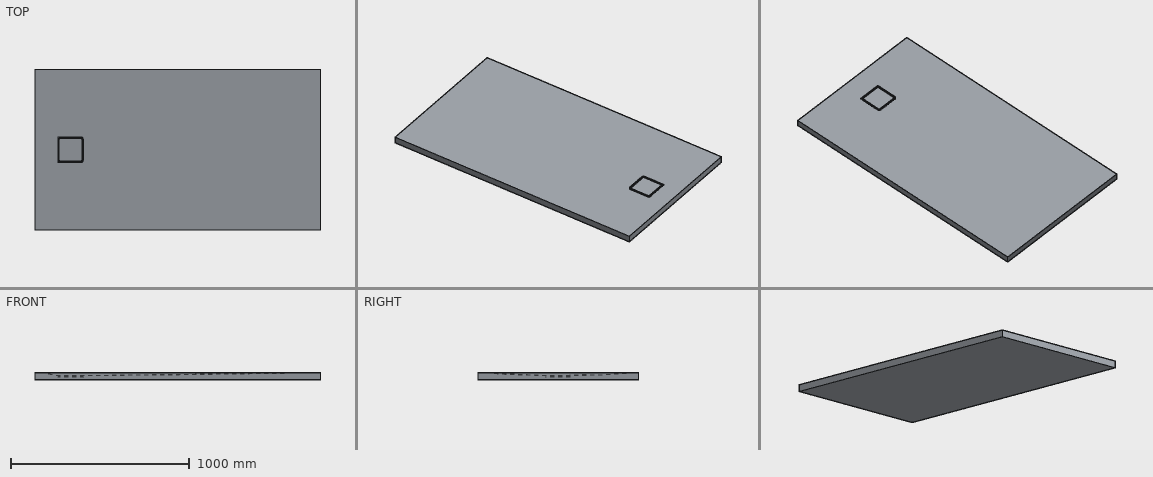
import cadquery as cq
import math

LENGTH = 1600.0
WIDTH = 900.0
HEIGHT = 40.0

RIM_END = 42.0
RIM_SIDE = 38.0
RIM_DROP = 1.0
BASIN_RADIUS = 13.0

DRAIN_SETBACK = 200.0
RECESS_SIZE = 142.0
RECESS_RADIUS = 13.0
RECESS_DROP = 16.0
COVER_GAP = 5.0
COVER_THICKNESS = 8.0
COVER_CHAMFER = 3.0

GUIDE_STEPS = 6

OUTER_X = LENGTH / 2
OUTER_Y = WIDTH / 2
BASIN_X = OUTER_X - RIM_END
BASIN_Y = OUTER_Y - RIM_SIDE
BASIN_Z = HEIGHT - RIM_DROP
DRAIN_X = DRAIN_SETBACK - OUTER_X
RECESS_HALF = RECESS_SIZE / 2
RECESS_LEFT = DRAIN_X - RECESS_HALF
RECESS_RIGHT = DRAIN_X + RECESS_HALF
RECESS_Z = HEIGHT - RECESS_DROP
RECESS_FLOOR_Z = RECESS_Z - COVER_THICKNESS
COVER_SIZE = RECESS_SIZE - 2 * COVER_GAP
COVER_RADIUS = RECESS_RADIUS - COVER_GAP



def path(*points):
    """Straight edges from point to point."""
    return [cq.Edge.makeLine(cq.Vector(*a), cq.Vector(*b)) for a, b in zip(points, points[1:])]


def rounded_corner(x, y, z, radius, x_sign, y_sign):
    """Arc rounding the corner (x, y) that points along the signs, with its two tangent points."""
    center_x = x - x_sign * radius
    center_y = y - y_sign * radius
    reach = radius * math.sqrt(0.5)
    start = (center_x, y, z)
    middle = (center_x + x_sign * reach, center_y + y_sign * reach, z)
    end = (x, center_y, z)
    arc = cq.Edge.makeThreePointArc(cq.Vector(*start), cq.Vector(*middle), cq.Vector(*end))
    return start, arc, end


def lip_corner(y_sign):
    """Rounded corner of the recess on the side away from the ramp."""
    return rounded_corner(RECESS_RIGHT, y_sign * RECESS_HALF, RECESS_Z, RECESS_RADIUS, 1, y_sign)


def flat_face(edges):
    return cq.Face.makeFromWires(cq.Wire.assembleEdges(edges))


def smooth_face(edges, guides=()):
    """Smooth surface that fills a closed loop of edges and passes through the guide points."""
    return cq.Face.makeNSidedSurface(edges, [cq.Vector(*guide) for guide in guides])



def basin_guides(y_sign):
    """Points on the straight slopes between the drain end of the basin and its long side."""
    guides = []
    for i in range(1, GUIDE_STEPS):
        x = -BASIN_X + (DRAIN_X + BASIN_X) * i / GUIDE_STEPS
        ramp_part = min(1, (x + BASIN_X) / (RECESS_LEFT + BASIN_X))
        low_z = BASIN_Z + (RECESS_Z - BASIN_Z) * ramp_part
        for j in range(1, GUIDE_STEPS):
            slope_part = j / GUIDE_STEPS
            y = RECESS_HALF + (BASIN_Y - RECESS_HALF) * slope_part
            z = low_z + (BASIN_Z - low_z) * slope_part
            guides.append((x, y_sign * y, z))
    return guides


def quarter_faces(x_sign, y_sign):
    """Rim and basin surfaces of one quarter, parted by the seams through the drain center."""
    outer_corner = (x_sign * OUTER_X, y_sign * OUTER_Y, HEIGHT)
    side_outer = (DRAIN_X, y_sign * OUTER_Y, HEIGHT)
    side_basin = (DRAIN_X, y_sign * BASIN_Y, BASIN_Z)
    side_recess = (DRAIN_X, y_sign * RECESS_HALF, RECESS_Z)
    end_outer = (x_sign * OUTER_X, 0, HEIGHT)
    end_basin = (x_sign * BASIN_X, 0, BASIN_Z)
    arc_start, arc, arc_end = rounded_corner(
        x_sign * BASIN_X, y_sign * BASIN_Y, BASIN_Z, BASIN_RADIUS, x_sign, y_sign
    )
    basin_side = [*path(side_recess, side_basin, arc_start), arc]

    if x_sign > 0:
        end_recess = (RECESS_RIGHT, 0, RECESS_Z)
        basin_end = path(arc_end, end_basin)
        lip_start, lip_arc, lip_end = lip_corner(y_sign)
        drain_side = [*path(end_basin, end_recess, lip_end), lip_arc, *path(lip_start, side_recess)]
        basin = smooth_face([*basin_side, *basin_end, *drain_side])
    else:
        ramp_top = (-BASIN_X, y_sign * RECESS_HALF, BASIN_Z)
        basin_end = path(arc_end, ramp_top, end_basin)
        ramp_side = path(ramp_top, (RECESS_LEFT, y_sign * RECESS_HALF, RECESS_Z), side_recess)
        basin = smooth_face([*basin_side, basin_end[0], *ramp_side], basin_guides(y_sign))

    rim_outside = path(side_basin, side_outer, outer_corner, end_outer, end_basin)
    rim_inside = [*reversed(basin_end), arc, *path(arc_start, side_basin)]
    return [smooth_face([*rim_outside, *rim_inside]), basin]


def ramp_face():
    """Flat ramp from the short end of the basin down to the drain."""
    return flat_face(path(
        (RECESS_LEFT, -RECESS_HALF, RECESS_Z),
        (-BASIN_X, -RECESS_HALF, BASIN_Z),
        (-BASIN_X, 0, BASIN_Z),
        (-BASIN_X, RECESS_HALF, BASIN_Z),
        (RECESS_LEFT, RECESS_HALF, RECESS_Z),
        (RECESS_LEFT, -RECESS_HALF, RECESS_Z),
    ))


def drain_land():
    """Flat area at the foot of the slopes, later sunk by the recess."""
    edges = path((RECESS_LEFT, -RECESS_HALF, RECESS_Z), (RECESS_LEFT, RECESS_HALF, RECESS_Z))
    for y_sign in (-1, 1):
        lip_start, lip_arc, lip_end = lip_corner(y_sign)
        foot = (RECESS_LEFT, y_sign * RECESS_HALF, RECESS_Z)
        side_recess = (DRAIN_X, y_sign * RECESS_HALF, RECESS_Z)
        edges += [*path(foot, side_recess, lip_start), lip_arc]
        edges += path(lip_end, (RECESS_RIGHT, 0, RECESS_Z))
    return flat_face(edges)


def outside_faces():
    """Underside and the four upright sides."""
    x, y = OUTER_X, OUTER_Y
    faces = [flat_face(path((-x, -y, 0), (x, -y, 0), (x, y, 0), (-x, y, 0), (-x, -y, 0)))]
    for sign in (-1, 1):
        side = sign * y
        end = sign * x
        faces.append(flat_face(path(
            (-x, side, 0), (x, side, 0), (x, side, HEIGHT),
            (DRAIN_X, side, HEIGHT), (-x, side, HEIGHT), (-x, side, 0),
        )))
        faces.append(flat_face(path(
            (end, -y, 0), (end, y, 0), (end, y, HEIGHT),
            (end, 0, HEIGHT), (end, -y, HEIGHT), (end, -y, 0),
        )))
    return faces


def drain_block(size):
    """Square block that stands on the recess floor."""
    floor = cq.Workplane("XY", origin=(DRAIN_X, 0, RECESS_FLOOR_Z))
    return floor.rect(size, size).extrude(COVER_THICKNESS)


def make_tray():
    faces = [ramp_face(), drain_land(), *outside_faces()]
    for x_sign in (-1, 1):
        for y_sign in (-1, 1):
            faces += quarter_faces(x_sign, y_sign)
    body = cq.Solid.makeSolid(cq.Shell.makeShell(faces)).fix()
    recess = drain_block(RECESS_SIZE).edges("|Z and >X").fillet(RECESS_RADIUS)
    return cq.Workplane(body).cut(recess).solids()



def make_cover():
    rounded_block = drain_block(COVER_SIZE).edges("|Z").fillet(COVER_RADIUS)
    return rounded_block.faces(">Z").chamfer(COVER_CHAMFER)


tray = make_tray()
cover = make_cover()
result = cq.Compound.makeCompound([tray.val(), cover.val()])